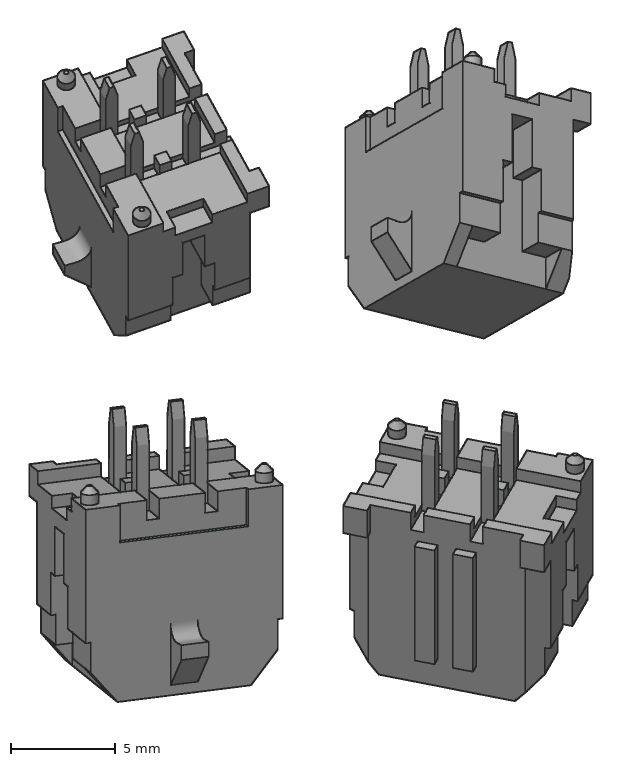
import cadquery as cq
import math

body_width = 10.15
body_depth = 6.87
body_height = 9.91
half_width = body_width / 2

nose_width = 9.62
nose_height = 3.17
tip_width = 6.86
tip_chamfer_height = 1.64
tip_inset_front = 0.76
tip_inset_back = 5.88

flange_depth = 7.37
flange_width = 1.22
flange_bottom = 8.31
bevel_depth = 0.51
bevel_width = 1.11
rib_depth = 7.35
rib_width = 1.01
rib_spacing = 1.94
rib_bottom = 1.61

deck_height = 9.24
front_ridge_depth = 1.85
back_ridge_start = 6.23
panel_width = 6.6
panel_depth = 0.26
panel_bottom = 8.04

slot_center = 3.43
slot_width = 2.2
slot_height = 5.31
narrow_slot_width = 1.14
narrow_slot_height = 7.8
pocket_length = 1.92
pocket_depth = 1.03
pocket_bottom = 8.61

pitch = 3.0
pin_size = 0.64
pin_root = 8.51
pin_height = 13.09
pin_taper_height = 0.84
pin_tip = 0.24
groove_bottom = 8.9
post_length = 0.63
pin_row_center = 3.39

peg_spacing = 8.98
peg_y = 0.97
peg_diameter = 0.86
peg_tip_diameter = 0.22
peg_shoulder = 10.42
peg_height = 10.76

hook_width = 1.4
hook_length = 1.4
hook_bottom = 0.52
hook_lip_bottom = 2.23
hook_lip_angle = 6.0
hook_radius = 0.72
hook_top = 3.63


def block(x_range, y_range, z_range):
    """Box spanning the given (low, high) ranges."""
    (x0, x1), (y0, y1), (z0, z1) = x_range, y_range, z_range
    return cq.Workplane("XY").box(x1 - x0, y1 - y0, z1 - z0, centered=False).translate((x0, y0, z0))


def span(center, size):
    """(low, high) range of a size about a center."""
    return (center - size / 2, center + size / 2)


def mirrored_pair(shape):
    """The shape together with its mirror image across X = 0."""
    return shape.union(shape.mirror("YZ"))


def housing():
    """Solid shell tapering to the mating end, with the vertical back edges bevelled below the flanges."""
    front_outline = [
        (tip_width / 2, 0),
        (nose_width / 2, tip_chamfer_height),
        (nose_width / 2, nose_height),
        (half_width, nose_height),
        (half_width, body_height),
    ]
    mirrored_outline = [(-x, z) for x, z in reversed(front_outline)]
    shell = (
        cq.Workplane("XZ")
        .polyline(front_outline + mirrored_outline)
        .close()
        .extrude(-body_depth)
    )
    bevel = (
        cq.Workplane("XY")
        .moveTo(half_width, body_depth - bevel_depth)
        .lineTo(half_width, body_depth)
        .lineTo(half_width - bevel_width, body_depth)
        .close()
        .extrude(flange_bottom)
    )
    return shell.cut(mirrored_pair(bevel))


def back_flanges_and_ribs():
    flange = block(
        (half_width - flange_width, half_width),
        (back_ridge_start, flange_depth),
        (flange_bottom, body_height),
    )
    rib = block(
        span(rib_spacing / 2, rib_width),
        (back_ridge_start, rib_depth),
        (rib_bottom, flange_bottom),
    )
    return mirrored_pair(flange.union(rib))


def deck():
    """Space above the deck and the shallow panel recess in the front face."""
    well = block(
        (-half_width, half_width),
        (front_ridge_depth, back_ridge_start),
        (deck_height, body_height),
    )
    panel = block(span(0, panel_width), (0, panel_depth), (panel_bottom, body_height))
    return well.union(panel)


def side_recesses():
    """Stepped slot, relieved mating end and top pocket on each side."""
    slot_x = (tip_width / 2, half_width)
    slot = block(slot_x, span(slot_center, slot_width), (0, slot_height))
    narrow_slot = block(slot_x, span(slot_center, narrow_slot_width), (0, narrow_slot_height))
    relief = block(slot_x, (tip_inset_front, tip_inset_back), (0, tip_chamfer_height))
    pocket = block(
        (half_width - pocket_depth, half_width),
        span(slot_center, pocket_length),
        (pocket_bottom, deck_height),
    )
    return mirrored_pair(slot.union(narrow_slot).union(relief).union(pocket))


def grooves():
    groove = block(span(pitch / 2, pin_size), (0, body_depth), (groove_bottom, body_height))
    return mirrored_pair(groove)


def pin(y):
    """Square pin tapering in Y only."""
    return (
        cq.Workplane("YZ")
        .moveTo(y - pin_size / 2, pin_root)
        .lineTo(y - pin_size / 2, pin_height - pin_taper_height)
        .lineTo(y - pin_tip / 2, pin_height)
        .lineTo(y + pin_tip / 2, pin_height)
        .lineTo(y + pin_size / 2, pin_height - pin_taper_height)
        .lineTo(y + pin_size / 2, pin_root)
        .close()
        .extrude(pin_size / 2, both=True)
        .translate((pitch / 2, 0, 0))
    )


def pins_and_posts():
    """One groove's two pins and central post, mirrored to the other groove."""
    column = block(
        span(pitch / 2, pin_size),
        span(pin_row_center, post_length),
        (pin_root, body_height),
    )
    for y in span(pin_row_center, pitch):
        column = column.union(pin(y))
    return mirrored_pair(column)


def pegs():
    peg = (
        cq.Workplane("XZ")
        .moveTo(0, deck_height)
        .lineTo(peg_diameter / 2, deck_height)
        .lineTo(peg_diameter / 2, peg_shoulder)
        .lineTo(peg_tip_diameter / 2, peg_height)
        .lineTo(0, peg_height)
        .close()
        .revolve(360, (0, 0, 0), (0, 1, 0))
        .translate((peg_spacing / 2, peg_y, 0))
    )
    return mirrored_pair(peg)


def hook():
    """Latch hook with a concave round root running tangent into its rising lip."""
    angle = math.radians(hook_lip_angle)
    root_end_y = -hook_radius * (1 + math.sin(angle))
    root_end_z = hook_top - hook_radius * math.cos(angle)
    lip_top = root_end_z + (hook_length + root_end_y) * math.tan(angle)
    root_middle = (
        -hook_radius * (1 - math.cos(math.pi / 4)),
        hook_top - hook_radius * math.sin(math.pi / 4),
    )
    return (
        cq.Workplane("YZ")
        .moveTo(panel_depth, hook_bottom)
        .lineTo(0, hook_bottom)
        .lineTo(-hook_length, hook_lip_bottom)
        .lineTo(-hook_length, lip_top)
        .lineTo(root_end_y, root_end_z)
        .threePointArc(root_middle, (0, hook_top))
        .lineTo(panel_depth, hook_top)
        .close()
        .extrude(hook_width / 2, both=True)
    )


result = (
    housing()
    .union(back_flanges_and_ribs())
    .cut(deck())
    .cut(side_recesses())
    .cut(grooves())
    .union(pins_and_posts())
    .union(pegs())
    .union(hook())
)